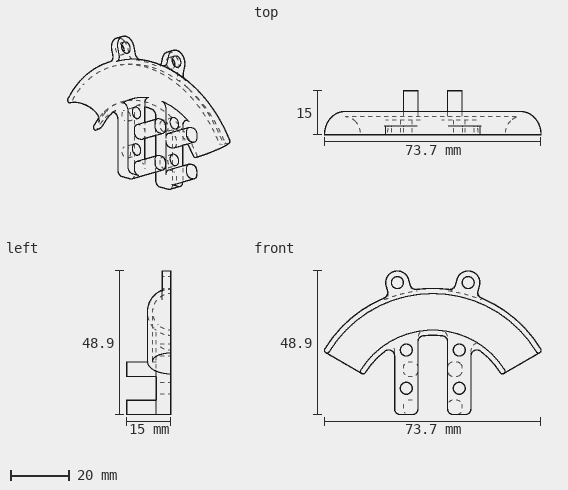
import cadquery as cq
import math

BEND_RADIUS = 35.0
BEND_ANGLE = 119.8
TUBE_OUTER_RADIUS = 8.0
WALL = 1.8
TUBE_INNER_RADIUS = TUBE_OUTER_RADIUS - WALL
OUTER_ARC_RADIUS = BEND_RADIUS + TUBE_OUTER_RADIUS
END_FLAT = 0.01
END_ROUND = (WALL - END_FLAT) / 2

HOLE_DIAMETER = 4.0
BLEND_RADIUS = 2.0
ROOT_MARGIN = 0.1

LUG_PITCH_RADIUS = 46.5
LUG_ANGLE = 15.0
LUG_RADIUS = 4.0
LUG_THICKNESS = 3.0

LEG_INNER_X = 5.0
LEG_WIDTH = 8.0
LEG_THICKNESS = 5.0
LEG_CORNER_RADIUS = 2.0
LEG_TOP = 30.0
LEG_HOLE_HEIGHTS = (9.0, 22.0)

PIN_SIZE = 5.0
PIN_CORNER_RADIUS = 2.0
PIN_TIP_Y = 15.0
PIN_BOTTOM_HEIGHTS = (0.0, 13.0)


def front_plane(y=0.0):
    """Workplane at the given y: local x is X, local y is Z, and it faces -Y."""
    return cq.Workplane("XZ", origin=(0, y, 0))


def extrude_back(sketch, depth):
    """Extrude a front-plane sketch toward +Y."""
    return sketch.extrude(-depth)


def right_rod(radius):
    """Right half of a bent round rod: it starts above the origin and bends down toward +X."""
    rod = (
        cq.Workplane("XY")
        .center(BEND_RADIUS, 0)
        .circle(radius)
        .revolve(BEND_ANGLE / 2, (-BEND_RADIUS, 0, 0), (-BEND_RADIUS, 1, 0))
    )
    return rod.rotate((0, 0, 0), (0, 1, 0), -90)


def make_tube_blank():
    """Tube without its bore, of which only the part behind y = 0 is kept."""
    block_size = 4 * OUTER_ARC_RADIUS
    back_half = extrude_back(front_plane().rect(block_size, block_size), block_size)
    return right_rod(TUBE_OUTER_RADIUS).intersect(back_half)


def make_lug():
    """Right lug: an eye on a parallel-sided bar that reaches into the middle of the tube."""
    bar_centre = (BEND_RADIUS + LUG_PITCH_RADIUS) / 2
    bar_length = LUG_PITCH_RADIUS - BEND_RADIUS
    bar = front_plane().center(0, bar_centre).rect(2 * LUG_RADIUS, bar_length)
    eye = front_plane().center(0, LUG_PITCH_RADIUS).circle(LUG_RADIUS)
    hole = front_plane().center(0, LUG_PITCH_RADIUS).circle(HOLE_DIAMETER / 2)
    lug = extrude_back(bar, LUG_THICKNESS).union(extrude_back(eye, LUG_THICKNESS))
    lug = lug.cut(extrude_back(hole, LUG_THICKNESS))
    return lug.rotate((0, 0, 0), (0, 1, 0), LUG_ANGLE)


def make_leg():
    """Right leg: a flat bar with rounded feet and two holes, reaching up into the tube."""
    centre_x = LEG_INNER_X + LEG_WIDTH / 2
    bar = front_plane().center(centre_x, LEG_TOP / 2).rect(LEG_WIDTH, LEG_TOP)
    leg = extrude_back(bar, LEG_THICKNESS)
    leg = leg.edges("|Y").edges("<Z").fillet(LEG_CORNER_RADIUS)
    hole_centres = [(centre_x, height) for height in LEG_HOLE_HEIGHTS]
    holes = front_plane().pushPoints(hole_centres).circle(HOLE_DIAMETER / 2)
    return leg.cut(extrude_back(holes, LEG_THICKNESS))


def blend_roots(body):
    """Round the curved corners where the lug and leg sides meet the outside of the tube."""
    between_flat_faces = cq.selectors.BoxSelector(
        (-OUTER_ARC_RADIUS, ROOT_MARGIN, 0),
        (OUTER_ARC_RADIUS, LUG_THICKNESS - ROOT_MARGIN, OUTER_ARC_RADIUS),
    )
    return body.edges("not(%LINE or %CIRCLE)").edges(between_flat_faces).fillet(BLEND_RADIUS)


def round_end(body):
    """Round the outer and inner rim at the end of the tube."""
    end_angle = math.radians(BEND_ANGLE / 2)
    end_x = BEND_RADIUS * math.sin(end_angle)
    end_z = BEND_RADIUS * math.cos(end_angle)
    around_end = cq.selectors.BoxSelector(
        (end_x - TUBE_OUTER_RADIUS, ROOT_MARGIN, end_z - TUBE_OUTER_RADIUS),
        (end_x + TUBE_OUTER_RADIUS, TUBE_OUTER_RADIUS, end_z + TUBE_OUTER_RADIUS),
    )
    return body.edges("%CIRCLE").edges(around_end).fillet(END_ROUND)


def make_pins():
    """The two pins standing on the back of the right leg."""
    pin_x = LEG_INNER_X + PIN_SIZE / 2
    centres = [(pin_x, bottom + PIN_SIZE / 2) for bottom in PIN_BOTTOM_HEIGHTS]
    sketch = front_plane(LEG_THICKNESS).pushPoints(centres).rect(PIN_SIZE, PIN_SIZE)
    pins = extrude_back(sketch, PIN_TIP_Y - LEG_THICKNESS)
    return pins.edges("|Y").fillet(PIN_CORNER_RADIUS)


right_half = make_tube_blank().union(make_lug()).union(make_leg())
right_half = blend_roots(right_half)
right_half = right_half.cut(right_rod(TUBE_INNER_RADIUS))
right_half = round_end(right_half)
right_half = right_half.union(make_pins())

result = right_half.union(right_half.mirror("YZ"))